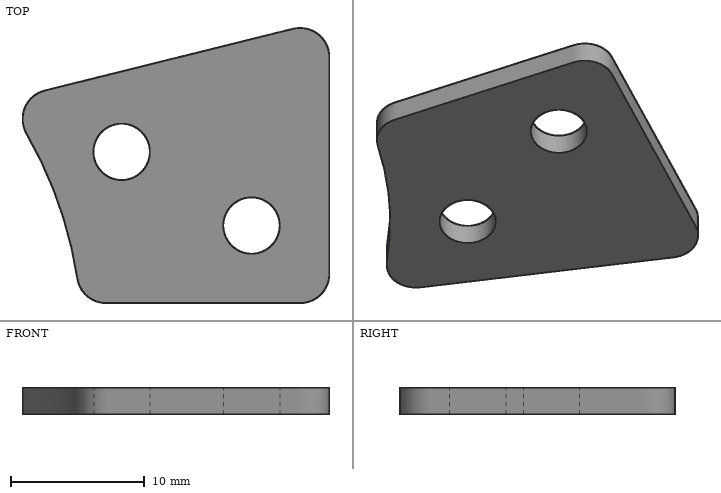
import cadquery as cq
import math

length = 22.92
width = 20.55
thickness = 2.0

corner_radius = 2.2
concave_radius = 30.95
bottom_left_center = (6.25, corner_radius)
bottom_right_center = (length - corner_radius, corner_radius)
top_right_center = (length - corner_radius, width - corner_radius)
top_left_center = (corner_radius, 13.75)

hole_diameter = 4.2
hole_centers = [(7.4, 11.3), (17.1, 5.8)]


def on_corner(center, angle):
    """Point on a corner round, at an angle in radians from +X."""
    return (
        center[0] + corner_radius * math.cos(angle),
        center[1] + corner_radius * math.sin(angle),
    )


def direction(start, end):
    """Angle in radians of the line from start to end."""
    return math.atan2(end[1] - start[1], end[0] - start[0])


def concave_arc_center():
    """Center, left of the plate, of the arc tangent to both left corner rounds."""
    half_chord = math.dist(bottom_left_center, top_left_center) / 2
    offset = math.sqrt((concave_radius + corner_radius) ** 2 - half_chord**2)
    outward = direction(bottom_left_center, top_left_center) + math.pi / 2
    middle_x = (bottom_left_center[0] + top_left_center[0]) / 2
    middle_y = (bottom_left_center[1] + top_left_center[1]) / 2
    return (
        middle_x + offset * math.cos(outward),
        middle_y + offset * math.sin(outward),
    )


def make_plate():
    right, down = 0.0, -math.pi / 2
    top_normal = direction(top_left_center, top_right_center) + math.pi / 2
    arc_center = concave_arc_center()
    upper_tangent = direction(top_left_center, arc_center) % (2 * math.pi)
    lower_tangent = direction(bottom_left_center, arc_center) % (2 * math.pi)
    lower_end = down + 2 * math.pi

    arc_middle_angle = (upper_tangent + lower_tangent) / 2 - math.pi
    arc_middle = (
        arc_center[0] + concave_radius * math.cos(arc_middle_angle),
        arc_center[1] + concave_radius * math.sin(arc_middle_angle),
    )

    def round_corner(outline, center, start, end):
        middle = on_corner(center, (start + end) / 2)
        return outline.threePointArc(middle, on_corner(center, end))

    outline = cq.Workplane("XY").moveTo(*on_corner(bottom_left_center, down))
    outline = outline.lineTo(*on_corner(bottom_right_center, down))
    outline = round_corner(outline, bottom_right_center, down, right)
    outline = outline.lineTo(*on_corner(top_right_center, right))
    outline = round_corner(outline, top_right_center, right, top_normal)
    outline = outline.lineTo(*on_corner(top_left_center, top_normal))
    outline = round_corner(outline, top_left_center, top_normal, upper_tangent)
    outline = outline.threePointArc(arc_middle, on_corner(bottom_left_center, lower_tangent))
    outline = round_corner(outline, bottom_left_center, lower_tangent, lower_end)
    return outline.close().extrude(thickness)


def make_holes():
    return cq.Workplane("XY").pushPoints(hole_centers).circle(hole_diameter / 2).extrude(thickness)


result = make_plate().cut(make_holes())